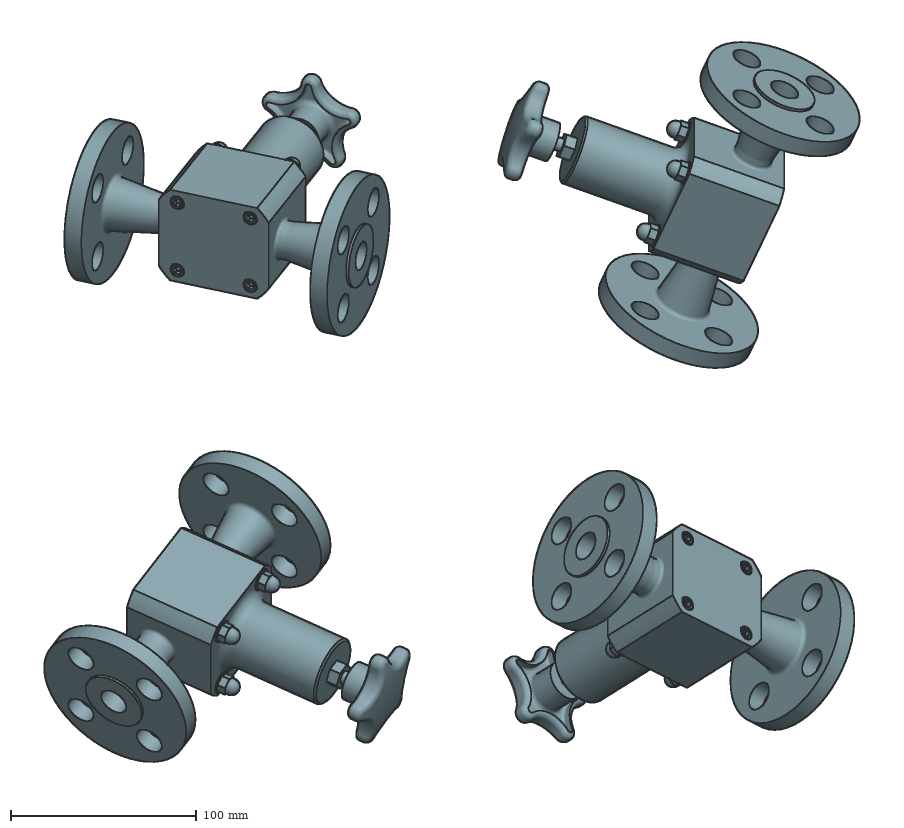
import cadquery as cq
import math


OVERALL_DEPTH = 171.7

FACE_TO_FACE = 156.0
FLANGE_DIA = 89.0
FLANGE_THICKNESS = 10.0
RAISED_FACE_DIA = 35.0
RAISED_FACE_HEIGHT = 1.5
BOLT_CIRCLE_DIA = 60.5
FLANGE_HOLE_DIA = 15.8
FLANGE_HOLE_COUNT = 4
FLANGE_HOLE_ANGLE = 45
BORE_DIA = 15.8
NECK_DIA = 21.3
NECK_CONE_START = 37.5
NECK_CONE_DIA = 30.4
NECK_FLANGE_FILLET = 2.4
NECK_BLOCK_FILLET = 1.7

BLOCK_LENGTH = 64.0
BLOCK_HEIGHT = 57.0
BLOCK_CORNER_DIA = 76.2
BLOCK_FRONT = -18.9
BLOCK_BACK = 33.6

SCREW_SPACING = 42.4
SCREW_RECESS_DIA = 7.9
SCREW_HEAD_DIA = 6.9
SCREW_RECESS_DEPTH = 2.0
SOCKET_WIDTH = 4.1
SOCKET_DEPTH = 2.7
SOCKET_CONE_DIA = 3.8
SOCKET_CONE_DEPTH = 1.0
WASHER_DIA = 12.7
WASHER_THICKNESS = 0.5
NUT_WIDTH = 9.5
NUT_HEX_TOP = 38.8
NUT_DOME_START = 40.0

BONNET_DIA = 38.5
BONNET_END = 91.3
BONNET_CHAMFER = 1.0
BONNET_FILLET = 6.4
STEM_NUT_WIDTH = 12.7
STEM_NUT_END = 97.7
STEM_DIA = 7.4
HUB_DIA = 22.1
HUB_START = 103.0
HUB_FILLET = 3.0

WHEEL_ARMS = 5
WHEEL_BOTTOM = 115.4
WHEEL_TOP = OVERALL_DEPTH - FLANGE_DIA / 2
WHEEL_TIP_CENTRE = 23.9
WHEEL_TIP_DIA = 10.0
WHEEL_HOLLOW_RADIUS = 15.0
WHEEL_DOME_RADIUS = 111.5
WHEEL_WALL = 3.1
WHEEL_RIM_FILLET = 3.1
WHEEL_TOP_FILLET = 3.1
WHEEL_CAVITY_DEPTH = 5.0
WHEEL_CAVITY_FILLET = 1.7


def hexagon_dia(width):
    """Corner-to-corner size of a hexagon from its width across flats."""
    return width / math.cos(math.pi / 6)


def along_y(start, x=0, z=0):
    """Work plane normal to +Y, with local x along X and local y along -Z."""
    return cq.Workplane("XZ", origin=(x, start, z)).transformed(rotate=(180, 0, 0))


def cylinder_y(diameter, start, end, x=0, z=0):
    return along_y(start, x, z).circle(diameter / 2).extrude(end - start)


def make_flanged_end():
    """End at +X: neck, cone, flange and raised face as one turned shape."""
    end = FACE_TO_FACE / 2
    flange_face = end - RAISED_FACE_HEIGHT
    flange_back = flange_face - FLANGE_THICKNESS
    block_side = BLOCK_LENGTH / 2
    neck_r = NECK_DIA / 2
    block_fillet_middle = NECK_BLOCK_FILLET * (1 - math.sqrt(0.5))
    neck_root_r = neck_r + NECK_BLOCK_FILLET

    cone_angle = math.atan2(NECK_CONE_DIA / 2 - neck_r, flange_back - NECK_CONE_START)
    r = NECK_FLANGE_FILLET
    centre_x = flange_back - r
    cone_r_at_centre = neck_r + (centre_x - NECK_CONE_START) * math.tan(cone_angle)
    centre_y = cone_r_at_centre + r / math.cos(cone_angle)

    def fillet_point(angle):
        return (centre_x + r * math.cos(angle), centre_y + r * math.sin(angle))

    tangent_angle = cone_angle - math.pi / 2

    turned = (
        cq.Workplane("XY")
        .moveTo(0, 0)
        .lineTo(0, neck_root_r)
        .lineTo(block_side, neck_root_r)
        .threePointArc(
            (block_side + block_fillet_middle, neck_r + block_fillet_middle),
            (block_side + NECK_BLOCK_FILLET, neck_r),
        )
        .lineTo(NECK_CONE_START, neck_r)
        .lineTo(*fillet_point(tangent_angle))
        .threePointArc(fillet_point(tangent_angle / 2), fillet_point(0))
        .lineTo(flange_back, FLANGE_DIA / 2)
        .lineTo(flange_face, FLANGE_DIA / 2)
        .lineTo(flange_face, RAISED_FACE_DIA / 2)
        .lineTo(end, RAISED_FACE_DIA / 2)
        .lineTo(end, 0)
        .close()
        .revolve(360, (0, 0, 0), (1, 0, 0))
    )
    holes = (
        cq.Workplane("YZ", origin=(flange_back, 0, 0))
        .polarArray(BOLT_CIRCLE_DIA / 2, FLANGE_HOLE_ANGLE, 360, FLANGE_HOLE_COUNT)
        .circle(FLANGE_HOLE_DIA / 2)
        .extrude(FLANGE_THICKNESS)
    )
    return turned.cut(holes)


def make_bores():
    """Blind bores from both raised faces to the sides of the block."""
    depth = (FACE_TO_FACE - BLOCK_LENGTH) / 2
    bore = cq.Workplane("YZ", origin=(BLOCK_LENGTH / 2, 0, 0)).circle(BORE_DIA / 2).extrude(depth)
    return bore.union(bore.mirror("YZ"))


def make_block():
    """Rectangular body whose four long corners are turned to one diameter."""
    depth = BLOCK_BACK - BLOCK_FRONT
    block = along_y(BLOCK_FRONT).rect(BLOCK_LENGTH, BLOCK_HEIGHT).extrude(depth)
    return block.intersect(cylinder_y(BLOCK_CORNER_DIA, BLOCK_FRONT, BLOCK_BACK))


def screw_places():
    half = SCREW_SPACING / 2
    return [(x, z) for x in (-half, half) for z in (-half, half)]


def make_screw_recess(x, z):
    """Ring gap around a flush screw head, and its hexagon socket with a conical bottom."""
    front = along_y(BLOCK_FRONT, x, z)
    gap = front.circle(SCREW_RECESS_DIA / 2).circle(SCREW_HEAD_DIA / 2).extrude(SCREW_RECESS_DEPTH)
    socket = front.polygon(6, hexagon_dia(SOCKET_WIDTH)).extrude(SOCKET_DEPTH)
    cone = cq.Solid.makeCone(
        SOCKET_CONE_DIA / 2, 0, SOCKET_CONE_DEPTH,
        cq.Vector(x, BLOCK_FRONT + SOCKET_DEPTH, z), cq.Vector(0, 1, 0),
    )
    return gap.union(socket).union(cone)


def make_cap_nut(x, z):
    """Washer, hexagon, short collar and hemispherical cap."""
    washer_top = BLOCK_BACK + WASHER_THICKNESS
    washer = cylinder_y(WASHER_DIA, BLOCK_BACK, washer_top, x, z)
    hexagon = (
        along_y(washer_top, x, z)
        .transformed(rotate=(0, 0, 30))
        .polygon(6, hexagon_dia(NUT_WIDTH))
        .extrude(NUT_HEX_TOP - washer_top)
    )
    collar = cylinder_y(NUT_WIDTH, washer_top, NUT_DOME_START, x, z)
    dome = cq.Workplane("XY", origin=(x, NUT_DOME_START, z)).sphere(NUT_WIDTH / 2)
    return washer.union(hexagon).union(collar).union(dome)


def make_bonnet():
    """Cylinder flared onto the block, with a chamfered outer end."""
    radius = BONNET_DIA / 2
    flare = BONNET_FILLET
    flare_middle = flare * (1 - math.sqrt(0.5))
    return (
        cq.Workplane("XY")
        .moveTo(0, BLOCK_BACK)
        .lineTo(radius + flare, BLOCK_BACK)
        .threePointArc(
            (radius + flare_middle, BLOCK_BACK + flare_middle),
            (radius, BLOCK_BACK + flare),
        )
        .lineTo(radius, BONNET_END - BONNET_CHAMFER)
        .lineTo(radius - BONNET_CHAMFER, BONNET_END)
        .lineTo(0, BONNET_END)
        .close()
        .revolve(360, (0, 0, 0), (0, 1, 0))
    )


def make_stem():
    nut = along_y(BONNET_END).polygon(6, hexagon_dia(STEM_NUT_WIDTH)).extrude(STEM_NUT_END - BONNET_END)
    return nut.union(cylinder_y(STEM_DIA, STEM_NUT_END, HUB_START))


def star_outline(inset, start):
    """Star of rounded arms joined by tangent hollow arcs, moved inward by inset."""
    step = 2 * math.pi / WHEEL_ARMS
    half_step = step / 2
    tip_r = WHEEL_TIP_DIA / 2 - inset

    half_span = WHEEL_TIP_CENTRE * math.sin(half_step)
    beyond = math.sqrt((WHEEL_HOLLOW_RADIUS + WHEEL_TIP_DIA / 2) ** 2 - half_span ** 2)
    hollow_centre = WHEEL_TIP_CENTRE * math.cos(half_step) + beyond
    valley_r = hollow_centre - WHEEL_HOLLOW_RADIUS - inset
    tangent_angle = half_step + math.atan2(half_span, beyond)

    def polar(radius, angle):
        return (radius * math.cos(angle), radius * math.sin(angle))

    def arm_side(angle, side):
        x, y = polar(WHEEL_TIP_CENTRE, angle)
        dx, dy = polar(tip_r, angle + side * tangent_angle)
        return (x + dx, y + dy)

    first = -math.pi / 2
    outline = along_y(start).moveTo(*arm_side(first, -1))
    for arm in range(WHEEL_ARMS):
        angle = first + arm * step
        outline = outline.threePointArc(polar(WHEEL_TIP_CENTRE + tip_r, angle), arm_side(angle, 1))
        outline = outline.threePointArc(polar(valley_r, angle + half_step), arm_side(angle + step, -1))
    return outline.close()


def make_handwheel():
    """Domed star, hollow underneath, on a hub with a filleted root."""
    height = WHEEL_TOP - WHEEL_BOTTOM
    dome = cq.Workplane("XY", origin=(0, WHEEL_TOP - WHEEL_DOME_RADIUS, 0)).sphere(WHEEL_DOME_RADIUS)
    star = star_outline(0, WHEEL_BOTTOM).extrude(height).intersect(dome)
    star = star.faces("<Y").edges().fillet(WHEEL_RIM_FILLET)
    star = star.faces("%SPHERE").edges().fillet(WHEEL_TOP_FILLET)

    ceiling = WHEEL_BOTTOM + WHEEL_CAVITY_DEPTH
    cavity = star_outline(WHEEL_WALL, WHEEL_BOTTOM).extrude(WHEEL_CAVITY_DEPTH)
    cavity = cavity.faces(">Y").edges().fillet(WHEEL_CAVITY_FILLET)
    hub_r = HUB_DIA / 2
    hub_fillet_middle = HUB_FILLET * (1 - math.sqrt(0.5))
    hub = (
        cq.Workplane("XY")
        .moveTo(0, HUB_START)
        .lineTo(hub_r, HUB_START)
        .lineTo(hub_r, ceiling - HUB_FILLET)
        .threePointArc(
            (hub_r + hub_fillet_middle, ceiling - hub_fillet_middle),
            (hub_r + HUB_FILLET, ceiling),
        )
        .lineTo(0, ceiling)
        .close()
        .revolve(360, (0, 0, 0), (0, 1, 0))
    )
    return star.cut(cavity).union(hub)


flanged_end = make_flanged_end()
result = make_block().union(flanged_end).union(flanged_end.mirror("YZ")).cut(make_bores())
for screw_x, screw_z in screw_places():
    result = result.union(make_cap_nut(screw_x, screw_z)).cut(make_screw_recess(screw_x, screw_z))
result = result.union(make_bonnet()).union(make_stem()).union(make_handwheel())